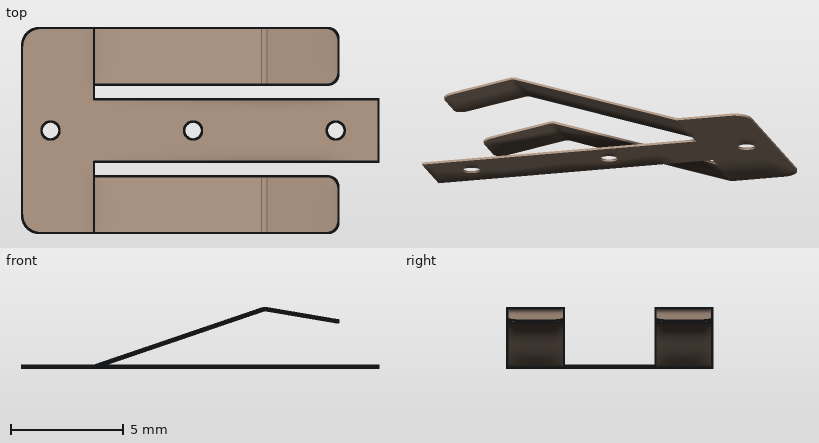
import cadquery as cq
import math

thickness = 0.1016
overall_length = 15.875
overall_width = 9.144
overall_height = 2.667

bar_length = 3.215
bar_corner_radius = 0.8
tongue_width = 2.794

hole_diameter = 0.79
first_hole_x = 1.27
hole_pitch = 6.35
hole_count = 3

arm_width = 2.54
arm_end_x = 14.097
rise_angle = math.radians(18.8)
dip_angle = math.radians(9.65)
crest_outer_radius = 0.508
tip_corner_radius = 0.508

arm_center_y = (overall_width - arm_width) / 2


def make_base():
    """Flat bar with rounded outer corners, joined to the drilled tongue."""
    bar = (
        cq.Workplane("XY")
        .box(bar_length, overall_width, thickness, centered=(False, True, False))
        .edges("|Z and <X")
        .fillet(bar_corner_radius)
    )
    tongue = cq.Workplane("XY").box(
        overall_length, tongue_width, thickness, centered=(False, True, False)
    )
    hole_points = [(first_hole_x + i * hole_pitch, 0) for i in range(hole_count)]
    holes = (
        cq.Workplane("XY")
        .pushPoints(hole_points)
        .circle(hole_diameter / 2)
        .extrude(thickness)
    )
    return bar.union(tongue).cut(holes)


def make_arm_profile():
    """Closed XZ outline of one bent arm, of constant sheet thickness."""
    inner_radius = crest_outer_radius - thickness
    crest_center_z = overall_height - crest_outer_radius

    rise_start_z = crest_center_z + crest_outer_radius * math.cos(rise_angle)
    rise_run = (rise_start_z - thickness) / math.tan(rise_angle)
    crest_center_x = bar_length + rise_run + crest_outer_radius * math.sin(rise_angle)

    def crest_point(radius, angle):
        """Point on the crest, with the angle measured from +Z toward +X."""
        return (
            crest_center_x + radius * math.sin(angle),
            crest_center_z + radius * math.cos(angle),
        )

    outer_dip_start = crest_point(crest_outer_radius, dip_angle)
    inner_dip_start = crest_point(inner_radius, dip_angle)
    tip_top_x = arm_end_x
    tip_top_z = outer_dip_start[1] - (tip_top_x - outer_dip_start[0]) * math.tan(dip_angle)
    tip_bottom_x = tip_top_x - thickness * math.sin(dip_angle)
    tip_bottom_z = tip_top_z - thickness * math.cos(dip_angle)

    fold_x = bar_length + thickness * math.tan(rise_angle / 2)

    return (
        cq.Workplane("XZ")
        .moveTo(bar_length, thickness)
        .lineTo(*crest_point(crest_outer_radius, -rise_angle))
        .threePointArc(crest_point(crest_outer_radius, 0), outer_dip_start)
        .lineTo(tip_top_x, tip_top_z)
        .lineTo(tip_bottom_x, tip_bottom_z)
        .lineTo(*inner_dip_start)
        .threePointArc(crest_point(inner_radius, 0), crest_point(inner_radius, -rise_angle))
        .lineTo(fold_x, 0)
        .lineTo(bar_length, 0)
        .close()
    )


def make_arm(center_y):
    """One spring arm centred on the given Y, with rounded tip corners."""
    arm = make_arm_profile().extrude(arm_width / 2, both=True)
    return arm.faces(">X").edges("not |Y").fillet(tip_corner_radius).translate((0, center_y, 0))


result = make_base()
for side in (-1, 1):
    result = result.union(make_arm(side * arm_center_y))